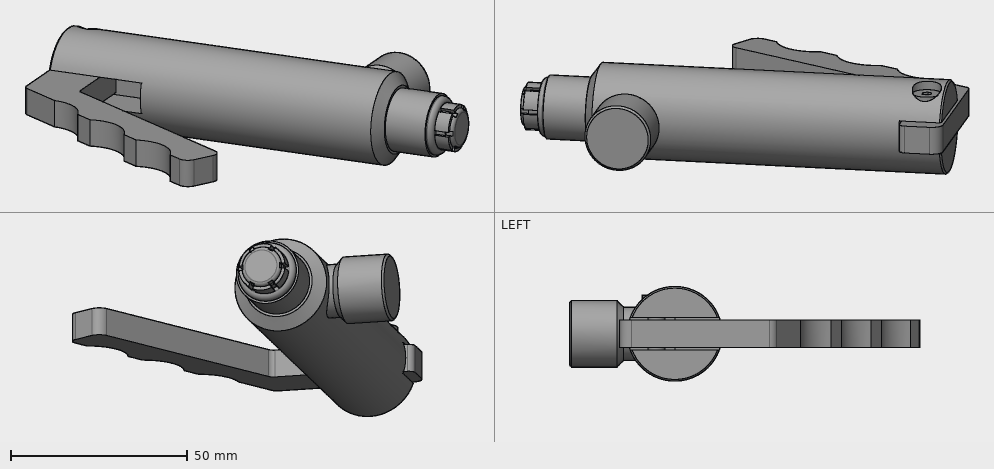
import cadquery as cq
import math


OVERALL_LENGTH = 123.5

BARREL_START = 0.5
BARREL_DIA = 26.9
BARREL_EDGE_CHAMFER = 0.5
CONE_START = 101.2
NECK_START = 103.8
CONE_END_DIA = 19.8
NECK_DIA = 18.3
NECK_END = 116.2
COLLAR_DIA = 17.0
COLLAR_END = 118.2
COLLAR_FILLET = 1.6

TIP_DIA = 13.6
TIP_RIM_END = 122.4
TIP_HUB_DIA = 11.6
TIP_HUB_FILLET = OVERALL_LENGTH - TIP_RIM_END
TIP_SLOT_COUNT = 6
TIP_SLOT_WIDTH = 1.4
TIP_CORE_START = 121.0
TIP_CORE_DIA = 10.7

KNOB_X = 90.8
KNOB_TOP = 29.9
KNOB_DIA = 19.0
KNOB_TOP_CHAMFER = 0.6
KNOB_CONE_TOP = 16.4
KNOB_STEM_DIA = 15.2

LEVER_THICKNESS = 7.9
SLOT_WIDTH = 9.1
UPPER_SLOT_END = 12.6
LOWER_SLOT_END = 29.4
SLOT_STEP_Y = 0.0

SCREW_X = 6.0
SCREW_Y = 5.2
SHANK_DIA = 4.8
LEVER_HOLE_DIA = 5.0
HEAD_DIA = 8.1
COUNTERBORE_DIA = 8.3
HEAD_TOP = 11.0
HEAD_HEIGHT = 3.7
HEX_ACROSS_CORNERS = 2.8
HEX_DEPTH = 1.2

LEVER_TOP = 15.7
LEVER_HEAD_WIDTH = 12.3
ARM_WIDTH = 15.7
HEAD_OUTER_FILLET = 3.3
HEAD_INNER_FILLET = 1.9
ELBOW_FILLET = 1.9
HEEL_FILLET = 2.3
GRIP_END_FILLET = 3.0
GRIP_ANGLE = 30.0
GRIP_INNER_OFFSET = 14.0
HEEL_OFFSET = 24.5
GRIP_OUTER_OFFSET = 26.4
GRIP_END = 95.6
SCALLOP_COUNT = 3
FIRST_SCALLOP = 34.6
SCALLOP_PITCH = 22.6
SCALLOP_OFFSET = 34.7
SCALLOP_RADIUS = 11.7


def grip_point(along, outward):
    """XY position given by the distance along the grip and outward across it."""
    slope = math.radians(GRIP_ANGLE)
    x = along * math.cos(slope) - outward * math.sin(slope)
    y = -along * math.sin(slope) - outward * math.cos(slope)
    return (x, y)


def grip_point_at_x(x, outward):
    """Point with the given X on the line that runs along the grip at one offset."""
    slope = math.radians(GRIP_ANGLE)
    along = (x + outward * math.sin(slope)) / math.cos(slope)
    return grip_point(along, outward)


def cylinder_z(x, y, diameter, bottom, top):
    return cq.Workplane("XY", origin=(x, y, bottom)).circle(diameter / 2).extrude(top - bottom)


def cylinder_x(diameter, start, end):
    return cq.Workplane("YZ", origin=(start, 0, 0)).circle(diameter / 2).extrude(end - start)


def make_turned_body():
    barrel_r = BARREL_DIA / 2
    neck_r = NECK_DIA / 2
    collar_r = COLLAR_DIA / 2
    hub_r = TIP_HUB_DIA / 2
    arc_setback = 1 - math.sqrt(0.5)
    collar_mid = COLLAR_FILLET * arc_setback
    hub_mid = TIP_HUB_FILLET * arc_setback
    profile = (
        cq.Workplane("XY")
        .moveTo(BARREL_START, 0)
        .lineTo(BARREL_START, barrel_r - BARREL_EDGE_CHAMFER)
        .lineTo(BARREL_START + BARREL_EDGE_CHAMFER, barrel_r)
        .lineTo(CONE_START, barrel_r)
        .lineTo(NECK_START, CONE_END_DIA / 2)
        .lineTo(NECK_START, neck_r)
        .lineTo(NECK_END, neck_r)
        .lineTo(NECK_END, collar_r)
        .lineTo(COLLAR_END - COLLAR_FILLET, collar_r)
        .threePointArc(
            (COLLAR_END - collar_mid, collar_r - collar_mid),
            (COLLAR_END, collar_r - COLLAR_FILLET),
        )
        .lineTo(COLLAR_END, TIP_DIA / 2)
        .lineTo(TIP_RIM_END, TIP_DIA / 2)
        .lineTo(TIP_RIM_END, hub_r)
        .threePointArc(
            (OVERALL_LENGTH - hub_mid, hub_r - hub_mid),
            (OVERALL_LENGTH, hub_r - TIP_HUB_FILLET),
        )
        .lineTo(OVERALL_LENGTH, 0)
        .close()
    )
    return profile.revolve(360, (0, 0, 0), (1, 0, 0))


def make_tip_slots():
    """Material removed by the slots; their floor drops from hub to core near the end."""
    length = OVERALL_LENGTH - COLLAR_END
    floor = cylinder_x(TIP_HUB_DIA, COLLAR_END, TIP_CORE_START)
    core = cylinder_x(TIP_CORE_DIA, TIP_CORE_START, OVERALL_LENGTH)
    slots = cq.Workplane("XY")
    for i in range(TIP_SLOT_COUNT):
        blade = (
            cq.Workplane("XY")
            .box(length, TIP_DIA, TIP_SLOT_WIDTH, centered=(False, False, True))
            .translate((COLLAR_END, 0, 0))
            .rotate((0, 0, 0), (1, 0, 0), i * 360 / TIP_SLOT_COUNT)
        )
        slots = slots.union(blade)
    return slots.cut(floor).cut(core)


def make_knob():
    knob_r = KNOB_DIA / 2
    stem_r = KNOB_STEM_DIA / 2
    profile = (
        cq.Workplane("XY", origin=(KNOB_X, 0, 0))
        .moveTo(0, 0)
        .lineTo(stem_r, 0)
        .lineTo(stem_r, KNOB_CONE_TOP - (knob_r - stem_r))
        .lineTo(knob_r, KNOB_CONE_TOP)
        .lineTo(knob_r, KNOB_TOP - KNOB_TOP_CHAMFER)
        .lineTo(knob_r - KNOB_TOP_CHAMFER, KNOB_TOP)
        .lineTo(0, KNOB_TOP)
        .close()
    )
    return profile.revolve(360, (0, 0, 0), (0, 1, 0))


def make_lever_slot():
    upper = cq.Workplane("XY").box(
        UPPER_SLOT_END, BARREL_DIA, SLOT_WIDTH, centered=(False, True, True)
    )
    lower = (
        cq.Workplane("XY")
        .box(LOWER_SLOT_END, BARREL_DIA, SLOT_WIDTH, centered=(False, False, True))
        .translate((0, SLOT_STEP_Y - BARREL_DIA, 0))
    )
    return upper.union(lower)


def make_screw():
    """Shank across the lever slot and socket head; both are joined to the housing."""
    shank = cylinder_z(SCREW_X, SCREW_Y, SHANK_DIA, -SLOT_WIDTH / 2, SLOT_WIDTH / 2)
    head = cylinder_z(SCREW_X, SCREW_Y, HEAD_DIA, HEAD_TOP - HEAD_HEIGHT, HEAD_TOP)
    socket = (
        cq.Workplane("XY", origin=(SCREW_X, SCREW_Y, HEAD_TOP))
        .transformed(rotate=(0, 0, 90))
        .polygon(6, HEX_ACROSS_CORNERS)
        .extrude(-HEX_DEPTH)
    )
    return shank, head.cut(socket)


def make_housing():
    counterbore = cylinder_z(
        SCREW_X, SCREW_Y, COUNTERBORE_DIA, HEAD_TOP - HEAD_HEIGHT, BARREL_DIA / 2
    )
    shank, head = make_screw()
    return (
        make_turned_body()
        .cut(make_tip_slots())
        .union(make_knob())
        .cut(make_lever_slot())
        .cut(counterbore)
        .union(shank)
        .union(head)
    )


def vertical_edge_at(point):
    """Selector for the lever edge that stands on the given outline point."""
    return cq.selectors.NearestToPointSelector((point[0], point[1], 0))


def make_lever():
    heel = grip_point_at_x(0, HEEL_OFFSET)
    elbow = grip_point_at_x(ARM_WIDTH, GRIP_INNER_OFFSET)
    end_inner = grip_point(GRIP_END, GRIP_INNER_OFFSET)
    end_outer = grip_point(GRIP_END, GRIP_OUTER_OFFSET)
    head_outer = (0, LEVER_TOP)
    head_inner = (LEVER_HEAD_WIDTH, LEVER_TOP)
    outline = [
        head_outer,
        head_inner,
        (LEVER_HEAD_WIDTH, SLOT_STEP_Y),
        (ARM_WIDTH, SLOT_STEP_Y),
        elbow,
        end_inner,
        end_outer,
        grip_point(FIRST_SCALLOP, GRIP_OUTER_OFFSET),
        grip_point(FIRST_SCALLOP, HEEL_OFFSET),
        heel,
    ]
    plate = (
        cq.Workplane("XY", origin=(0, 0, -LEVER_THICKNESS / 2))
        .polyline(outline)
        .close()
        .extrude(LEVER_THICKNESS)
    )
    corner_fillets = (
        (head_outer, HEAD_OUTER_FILLET),
        (head_inner, HEAD_INNER_FILLET),
        (elbow, ELBOW_FILLET),
        (heel, HEEL_FILLET),
        (end_inner, GRIP_END_FILLET),
        (end_outer, GRIP_END_FILLET),
    )
    for corner, radius in corner_fillets:
        plate = plate.edges("|Z").edges(vertical_edge_at(corner)).fillet(radius)

    half = LEVER_THICKNESS / 2
    for i in range(SCALLOP_COUNT):
        x, y = grip_point(FIRST_SCALLOP + i * SCALLOP_PITCH, SCALLOP_OFFSET)
        plate = plate.cut(cylinder_z(x, y, 2 * SCALLOP_RADIUS, -half, half))
    return plate.cut(cylinder_z(SCREW_X, SCREW_Y, LEVER_HOLE_DIA, -half, half))


housing = make_housing()
lever = make_lever()

result = cq.Compound.makeCompound([housing.solids().val(), lever.solids().val()])